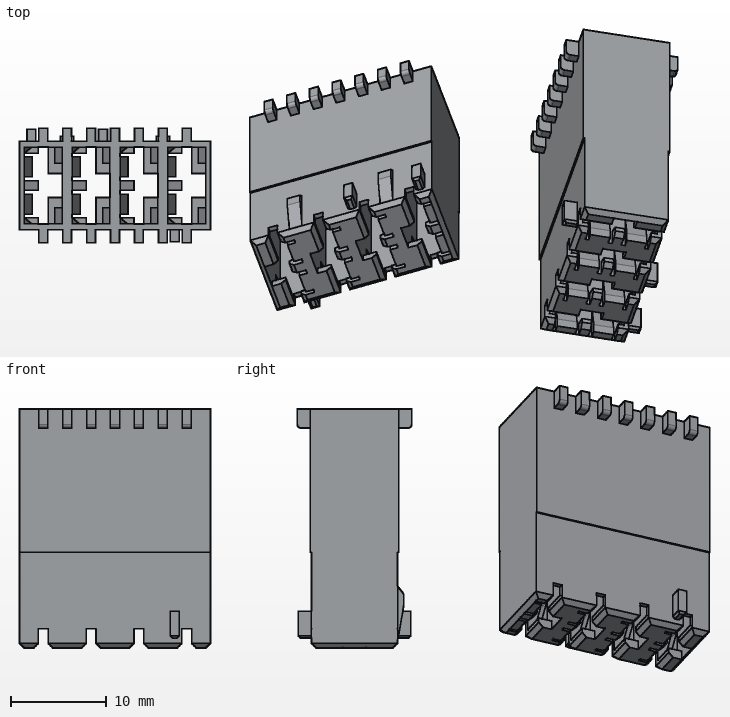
import cadquery as cq

LENGTH = 20.0
HEIGHT = 25.0
UPPER_DEPTH = 9.3
LOWER_DEPTH = 9.0
STEP_Z = 10.0

CELL_COUNT = 4
CELL_PITCH = LENGTH / CELL_COUNT
CELL_WIDTH = 3.95
CELL_DEPTH = 8.0

SLOT_START = 2.0
SLOT_WIDTH = 1.0
SLOT_HEIGHT = 2.0
FOOT_CHAMFER = 0.5

RIB_COUNT = 7
RIB_PITCH = CELL_PITCH / 2
RIB_WIDTH = 0.95
RIB_HEIGHT = 2.0
RIB_SPAN = 12.0
RIB_ROUND = 0.4

KEY_WIDTH = 0.95
KEY_BOTTOM = 1.05
KEY_TOP = 3.85
KEY_REACH = 5.9
KEY_CHAMFER = 0.25
BACK_KEYS_X = (-8.75, -1.25)
FRONT_KEY_X = 6.25

LATCH_X = (-5.0, 5.0)
LATCH_WIDTH = 1.4
LATCH_REACH = 5.15
LATCH_TOP = 6.5
LATCH_FLAT_TOP = 5.65
LATCH_FLAT_BOTTOM = 4.4
LATCH_BOTTOM = 0.7

FLOOR_TOP = 1.0
CENTRE_BAR_WIDTH = 1.0
CENTRE_BAR_RISE = 0.6
CORNER_BAR_INNER = 3.36
GUSSET_LENGTH = 0.75
GUSSET_HEIGHT = 2.0
WEDGE_REACH = 0.85
WEDGE_INNER = 0.9
WEDGE_OUTER = 3.02
WEDGE_HEIGHT = 3.0
PAD_INNER = 1.25
RAMP_INNER = 2.35
RAMP_REACH = 0.75
RAMP_HEIGHT = 3.0


def block(x_min, x_max, y_min, y_max, z_min, z_max):
    """Axis-aligned box between the given limits."""
    base = cq.Workplane("XY", origin=(x_min, y_min, z_min))
    return base.box(x_max - x_min, y_max - y_min, z_max - z_min, centered=False)


def prism_along_x(yz_points, x_min, x_max):
    """Polygon in the YZ plane extruded from x_min to x_max."""
    return cq.Workplane("YZ", origin=(x_min, 0, 0)).polyline(yz_points).close().extrude(x_max - x_min)


def prism_along_y(xz_points, y_min, y_max):
    """Polygon in the XZ plane extruded from y_min to y_max."""
    return cq.Workplane("XZ", origin=(0, y_max, 0)).polyline(xz_points).close().extrude(y_max - y_min)


def mirrored_pair(solid):
    """The solid together with its mirror image about the Y mid plane."""
    return solid.union(solid.mirror("XZ"))


def cell_start(index):
    """Low-X limit of one cell pitch."""
    return -LENGTH / 2 + index * CELL_PITCH


def foot(x_min, x_max):
    """One foot, chamfered all round its bottom face."""
    half_depth = LOWER_DEPTH / 2
    solid = block(x_min, x_max, -half_depth, half_depth, 0, SLOT_HEIGHT)
    return solid.faces("<Z").chamfer(FOOT_CHAMFER)


def feet():
    """All feet, from end to end between the slots."""
    slots = [cell_start(i) + SLOT_START for i in range(CELL_COUNT)]
    starts = [-LENGTH / 2] + [slot + SLOT_WIDTH for slot in slots]
    ends = slots + [LENGTH / 2]
    solid = foot(starts[0], ends[0])
    for start, end in zip(starts[1:], ends[1:]):
        solid = solid.union(foot(start, end))
    return solid


def shell():
    """Housing walls and the solid feet, before the cells are cut."""
    half_length = LENGTH / 2
    upper = block(-half_length, half_length, -UPPER_DEPTH / 2, UPPER_DEPTH / 2, STEP_Z, HEIGHT)
    lower = block(-half_length, half_length, -LOWER_DEPTH / 2, LOWER_DEPTH / 2, SLOT_HEIGHT, STEP_Z)
    return upper.union(lower).union(feet())


def cell_void(index):
    """Empty space of one cell, leaving the ledges at its bottom standing."""
    x_low = cell_start(index) + (CELL_PITCH - CELL_WIDTH) / 2
    x_high = x_low + CELL_WIDTH
    slot_low = cell_start(index) + SLOT_START
    slot_high = slot_low + SLOT_WIDTH
    half_depth = CELL_DEPTH / 2

    void = block(x_low, x_high, -half_depth, half_depth, 0, HEIGHT)

    centre_bar = prism_along_y(
        [
            (x_low, 0),
            (slot_low, 0),
            (slot_low, FLOOR_TOP),
            (x_low, FLOOR_TOP + CENTRE_BAR_RISE),
        ],
        -CENTRE_BAR_WIDTH / 2,
        CENTRE_BAR_WIDTH / 2,
    )
    corner_bar = block(x_low, slot_low, CORNER_BAR_INNER, half_depth, 0, FLOOR_TOP)
    gusset = corner_gusset(x_low)
    wedge = prism_along_y(
        [
            (x_low, 0),
            (x_low + WEDGE_REACH, 0),
            (x_low + WEDGE_REACH, FLOOR_TOP),
            (x_low, FLOOR_TOP + WEDGE_HEIGHT),
        ],
        WEDGE_INNER,
        WEDGE_OUTER,
    )
    pad = block(slot_high, x_high, PAD_INNER, half_depth, 0, FLOOR_TOP)
    ramp = prism_along_y(
        [
            (x_high - RAMP_REACH, FLOOR_TOP),
            (x_high, FLOOR_TOP),
            (x_high, FLOOR_TOP + RAMP_HEIGHT),
        ],
        RAMP_INNER,
        half_depth,
    )
    void = void.cut(centre_bar)
    for detail in (corner_bar, gusset, wedge, pad, ramp):
        void = void.cut(mirrored_pair(detail))
    return void


def triangle_face(points):
    """Flat face bounded by three points."""
    corners = [cq.Vector(*point) for point in points]
    return cq.Face.makeFromWires(cq.Wire.makePolygon(corners, close=True))


def corner_gusset(x_wall):
    """Three-sided pyramid in the corner between the low-X wall and the back wall."""
    y_wall = CELL_DEPTH / 2
    corner = (x_wall, y_wall, FLOOR_TOP)
    along_x = (x_wall + GUSSET_LENGTH, y_wall, FLOOR_TOP)
    along_y = (x_wall, CORNER_BAR_INNER, FLOOR_TOP)
    apex = (x_wall, y_wall, FLOOR_TOP + GUSSET_HEIGHT)
    triangles = [
        (corner, along_x, along_y),
        (corner, along_x, apex),
        (corner, along_y, apex),
        (along_x, along_y, apex),
    ]
    faces = [triangle_face(triangle) for triangle in triangles]
    return cq.Workplane(cq.Solid.makeSolid(cq.Shell.makeShell(faces)))


def ribs():
    """Bars across the housing that stick out on both sides at the top."""
    bar = (
        cq.Workplane("XY", origin=(0, 0, HEIGHT - RIB_HEIGHT / 2))
        .box(RIB_WIDTH, RIB_SPAN, RIB_HEIGHT)
        .edges("|X and <Z")
        .fillet(RIB_ROUND)
    )
    first_x = -RIB_PITCH * (RIB_COUNT - 1) / 2
    solid = bar.translate((first_x, 0, 0))
    for index in range(1, RIB_COUNT):
        solid = solid.union(bar.translate((first_x + index * RIB_PITCH, 0, 0)))
    return solid


def back_key(x):
    """Coding key on the back face, its outer bottom edges chamfered."""
    key = block(-KEY_WIDTH / 2, KEY_WIDTH / 2, 0, KEY_REACH, KEY_BOTTOM, KEY_TOP)
    return key.faces("<Z").edges("|Y or >Y").chamfer(KEY_CHAMFER).translate((x, 0, 0))


def latch(x):
    """Latch bump on the back face."""
    profile = [
        (0, LATCH_BOTTOM),
        (LOWER_DEPTH / 2, LATCH_BOTTOM),
        (LATCH_REACH, LATCH_FLAT_BOTTOM),
        (LATCH_REACH, LATCH_FLAT_TOP),
        (LOWER_DEPTH / 2, LATCH_TOP),
        (0, LATCH_TOP),
    ]
    return prism_along_x(profile, x - LATCH_WIDTH / 2, x + LATCH_WIDTH / 2)


result = shell().union(ribs())
for key_x in BACK_KEYS_X:
    result = result.union(back_key(key_x))
result = result.union(back_key(FRONT_KEY_X).mirror("XZ"))
for latch_x in LATCH_X:
    result = result.union(latch(latch_x))
for cell_index in range(CELL_COUNT):
    result = result.cut(cell_void(cell_index))